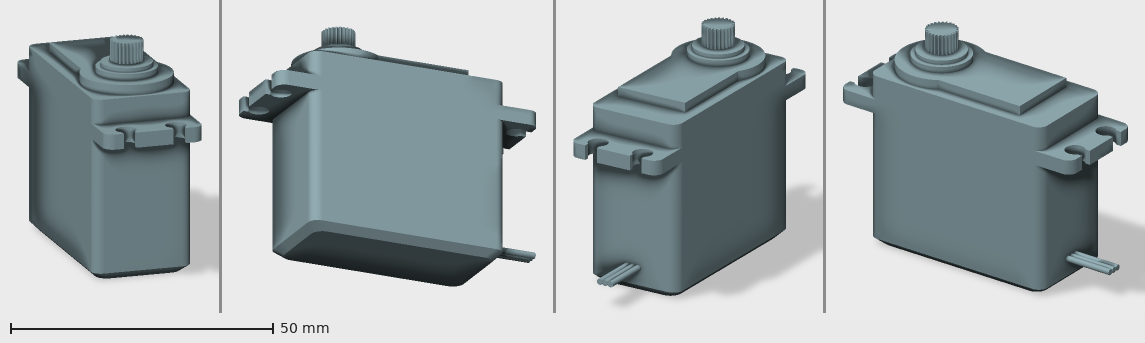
import cadquery as cq
import math

CASE_LENGTH = 40.6
CASE_WIDTH = 19.8
CASE_HEIGHT = 36.0
CORNER_RADIUS = 2.0
BOTTOM_CHAMFER = 1.5
BOTTOM_CORNER_RADIUS = 2.3

FLANGE_LENGTH = 54.6
FLANGE_BOTTOM = 28.0
FLANGE_THICKNESS = 3.0
SCREW_HOLE_DIAMETER = 4.05
SCREW_HOLE_INSET = 2.6
SCREW_HOLE_SPACING = 10.0
SCREW_SLOT_WIDTH = 2.6

SHAFT_X = 10.3
COVER_LEFT_MARGIN = 6.75
COVER_WIDTH = 15.1
COVER_ROUND_DIAMETER = 18.0
COVER_HEIGHT = 2.0
LOWER_BOSS_DIAMETER = 12.0
LOWER_BOSS_HEIGHT = 1.3
UPPER_BOSS_DIAMETER = 10.0
UPPER_BOSS_HEIGHT = 0.85

OVERALL_HEIGHT = 44.5
NECK_DIAMETER = 5.6
NECK_HEIGHT = 0.3
SPLINE_TIP_DIAMETER = 6.45
SPLINE_ROOT_DIAMETER = 5.35
TOOTH_COUNT = 25
TIP_SHARE = 0.3
ROOT_SHARE = 0.2

OVERALL_LENGTH = 57.6
WIRE_COUNT = 3
WIRE_DIAMETER = 1.2
WIRE_Z = 5.05

CASE_LEFT = -CASE_LENGTH / 2
COVER_TOP = CASE_HEIGHT + COVER_HEIGHT
LOWER_BOSS_TOP = COVER_TOP + LOWER_BOSS_HEIGHT
BOSS_TOP = LOWER_BOSS_TOP + UPPER_BOSS_HEIGHT
SPLINE_BOTTOM = BOSS_TOP + NECK_HEIGHT
SPLINE_HEIGHT = OVERALL_HEIGHT - SPLINE_BOTTOM
WIRE_LENGTH = OVERALL_LENGTH - FLANGE_LENGTH / 2 - CASE_LENGTH / 2


def disc(x, y, bottom, diameter, height):
    """Upright cylinder standing on the given level."""
    return cq.Workplane("XY", origin=(x, y, bottom)).circle(diameter / 2).extrude(height)


def block(x, y, bottom, length, width, height):
    """Box centred on x and y, standing on the given level."""
    return cq.Workplane("XY", origin=(x, y, bottom)).rect(length, width).extrude(height)


def rounded_outline(inset, radius, level):
    """Case outline moved inward, with rounded corners, lying at a level."""
    outline = cq.Sketch().rect(CASE_LENGTH - 2 * inset, CASE_WIDTH - 2 * inset)
    outline = outline.vertices().fillet(radius)
    return outline.moved(cq.Location(cq.Vector(0, 0, level)))


def make_case():
    """Box with rounded upright edges above a sloping bottom rim."""
    wall_height = CASE_HEIGHT - BOTTOM_CHAMFER
    walls = block(0, 0, BOTTOM_CHAMFER, CASE_LENGTH, CASE_WIDTH, wall_height)
    walls = walls.edges("|Z").fillet(CORNER_RADIUS)
    bottom_outline = rounded_outline(BOTTOM_CHAMFER, BOTTOM_CORNER_RADIUS, 0)
    top_outline = rounded_outline(0, CORNER_RADIUS, BOTTOM_CHAMFER)
    rim = cq.Workplane("XY").placeSketch(bottom_outline, top_outline).loft(ruled=True)
    return walls.union(rim)


def make_flange():
    """Plate with rounded corners and keyhole openings at both ends."""
    flange = block(0, 0, FLANGE_BOTTOM, FLANGE_LENGTH, CASE_WIDTH, FLANGE_THICKNESS)
    flange = flange.edges("|Z").fillet(CORNER_RADIUS)
    for x_side in (-1, 1):
        edge_x = x_side * FLANGE_LENGTH / 2
        hole_x = edge_x - x_side * SCREW_HOLE_INSET
        slot_x = (edge_x + hole_x) / 2
        for y_side in (-1, 1):
            hole_y = y_side * SCREW_HOLE_SPACING / 2
            hole = disc(hole_x, hole_y, FLANGE_BOTTOM, SCREW_HOLE_DIAMETER, FLANGE_THICKNESS)
            slot = block(
                slot_x, hole_y, FLANGE_BOTTOM, SCREW_HOLE_INSET, SCREW_SLOT_WIDTH, FLANGE_THICKNESS
            )
            flange = flange.cut(hole).cut(slot)
    return flange


def make_cover():
    """Flat cover, rectangular on the left and round about the shaft."""
    left = CASE_LEFT + COVER_LEFT_MARGIN
    arm_length = SHAFT_X - left
    arm = block(left + arm_length / 2, 0, CASE_HEIGHT, arm_length, COVER_WIDTH, COVER_HEIGHT)
    return arm.union(disc(SHAFT_X, 0, CASE_HEIGHT, COVER_ROUND_DIAMETER, COVER_HEIGHT))


def make_boss():
    """Two stacked discs that carry the output shaft."""
    lower = disc(SHAFT_X, 0, COVER_TOP, LOWER_BOSS_DIAMETER, LOWER_BOSS_HEIGHT)
    upper = disc(SHAFT_X, 0, LOWER_BOSS_TOP, UPPER_BOSS_DIAMETER, UPPER_BOSS_HEIGHT)
    return lower.union(upper)


def make_housing():
    """Case, flange, cover and boss as one solid."""
    return make_case().union(make_flange()).union(make_cover()).union(make_boss())


def spline_outline():
    """Corner points of the toothed outline, with one tooth centred on +X."""
    tip_radius = SPLINE_TIP_DIAMETER / 2
    root_radius = SPLINE_ROOT_DIAMETER / 2
    pitch = 2 * math.pi / TOOTH_COUNT
    half_tip = TIP_SHARE * pitch / 2
    half_root = ROOT_SHARE * pitch / 2
    points = []
    for tooth in range(TOOTH_COUNT):
        middle = tooth * pitch
        corners = (
            (root_radius, middle - pitch / 2 + half_root),
            (tip_radius, middle - half_tip),
            (tip_radius, middle + half_tip),
            (root_radius, middle + pitch / 2 - half_root),
        )
        for radius, angle in corners:
            points.append((radius * math.cos(angle), radius * math.sin(angle)))
    return points


def make_output_shaft():
    """Neck standing on the boss, with the splined head above it."""
    neck = disc(SHAFT_X, 0, BOSS_TOP, NECK_DIAMETER, NECK_HEIGHT)
    head_plane = cq.Workplane("XY", origin=(SHAFT_X, 0, SPLINE_BOTTOM))
    head = head_plane.polyline(spline_outline()).close().extrude(SPLINE_HEIGHT)
    return neck.union(head)


def make_wire(y):
    """Round wire that runs from the -X face of the case outward."""
    start = cq.Workplane("YZ", origin=(CASE_LEFT, y, WIRE_Z))
    return start.circle(WIRE_DIAMETER / 2).extrude(-WIRE_LENGTH)


housing = make_housing()
output_shaft = make_output_shaft()
wires = []
for index in range(WIRE_COUNT):
    wire_y = (index - (WIRE_COUNT - 1) / 2) * WIRE_DIAMETER
    wires.append(make_wire(wire_y).val())

result = cq.Compound.makeCompound([housing.val(), output_shaft.val(), *wires])